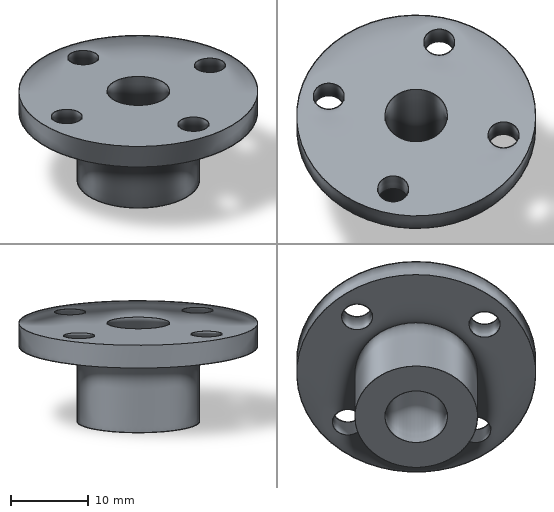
import cadquery as cq

flange_diameter = 31.0
flange_thickness = 3.0

hub_diameter = 15.9
hub_length = 9.98

bore_diameter = 8.1
bolt_hole_diameter = 4.0
bolt_circle_diameter = 23.45
bolt_hole_count = 4

total_height = hub_length + flange_thickness


def vertical_cylinder(diameter, base_z, height):
    return cq.Workplane("XY").workplane(offset=base_z).circle(diameter / 2).extrude(height)


def bolt_holes():
    return (
        cq.Workplane("XY")
        .polarArray(bolt_circle_diameter / 2, 0, 360, bolt_hole_count)
        .circle(bolt_hole_diameter / 2)
        .extrude(total_height)
    )


hub = vertical_cylinder(hub_diameter, 0, hub_length)
flange = vertical_cylinder(flange_diameter, hub_length, flange_thickness)
bore = vertical_cylinder(bore_diameter, 0, total_height)

result = hub.union(flange).cut(bore).cut(bolt_holes())